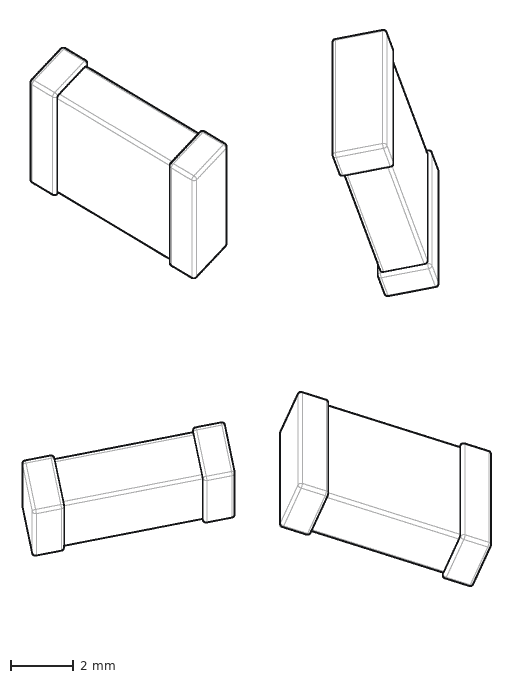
import cadquery as cq

LENGTH = 6.65
DEPTH = 1.8
HEIGHT = 5.4

TERMINAL_LENGTH = 1.05
EDGE_RADIUS = 0.11

BODY_LENGTH = LENGTH - 2 * TERMINAL_LENGTH
BODY_DEPTH = DEPTH - 2 * EDGE_RADIUS
BODY_HEIGHT = HEIGHT - 2 * EDGE_RADIUS
TERMINAL_CENTER = (LENGTH - TERMINAL_LENGTH) / 2


def make_body():
    """Block between the terminals, rounded along its four long edges."""
    block = cq.Workplane("XY").box(BODY_LENGTH, BODY_DEPTH, BODY_HEIGHT)
    return block.edges("|X").fillet(EDGE_RADIUS)


def make_terminal(center_x):
    """End block at the given X position, rounded along all twelve edges."""
    block = cq.Workplane("XY").box(TERMINAL_LENGTH, DEPTH, HEIGHT)
    return block.edges().fillet(EDGE_RADIUS).translate((center_x, 0, 0))


body = make_body()
terminals = [make_terminal(side * TERMINAL_CENTER) for side in (-1, 1)]

result = cq.Compound.makeCompound([body.val(), *[terminal.val() for terminal in terminals]])